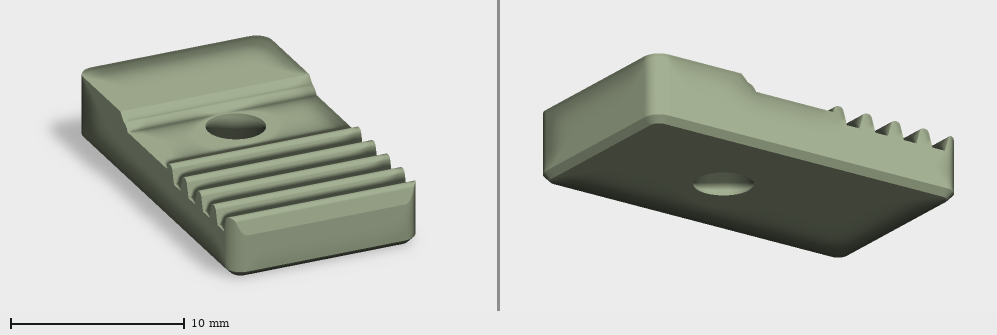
import cadquery as cq
import math

LENGTH = 21.5
WIDTH = 12.0
HEIGHT = 4.2
CORNER_RADIUS = 1.0
BOTTOM_CHAMFER = 0.4

SEAT_Z = 3.3
GROOVE_FLOOR_Z = 2.7
TOOTH_TIP_Z = 3.75

RAMP_START_X = 6.11
RAMP_END_Z = 3.74
RAMP_END_X = RAMP_START_X + HEIGHT - RAMP_END_Z
NOSE_END_X = 7.0
NOSE_END_Z = 3.5
NOSE_BULGE = 0.04
STEP_END_X = 7.13

TOOTH_COUNT = 5
TOOTH_PITCH = 2.0
TOOTH_CREST_WIDTH = 0.1
TOOTH_TIP_RADIUS = 0.28
TOOTH_FLANK_ANGLE = math.radians(16)

HOLE_DIAMETER = 3.5
HOLE_X = 9.0

CREST_HALF_WIDTH = TOOTH_CREST_WIDTH / 2
TIP_CENTRE_Z = TOOTH_TIP_Z - TOOTH_TIP_RADIUS
TANGENT_HALF_WIDTH = CREST_HALF_WIDTH + TOOTH_TIP_RADIUS * math.cos(TOOTH_FLANK_ANGLE)
TANGENT_Z = TIP_CENTRE_Z + TOOTH_TIP_RADIUS * math.sin(TOOTH_FLANK_ANGLE)
ARC_MID_ANGLE = (TOOTH_FLANK_ANGLE + math.pi / 2) / 2
ARC_MID_HALF_WIDTH = CREST_HALF_WIDTH + TOOTH_TIP_RADIUS * math.cos(ARC_MID_ANGLE)
ARC_MID_Z = TIP_CENTRE_Z + TOOTH_TIP_RADIUS * math.sin(ARC_MID_ANGLE)
ROOT_HALF_WIDTH = TANGENT_HALF_WIDTH + (TANGENT_Z - GROOVE_FLOOR_Z) * math.tan(TOOTH_FLANK_ANGLE)

LAST_TOOTH_X = LENGTH - ROOT_HALF_WIDTH
FIRST_TOOTH_X = LAST_TOOTH_X - (TOOTH_COUNT - 1) * TOOTH_PITCH


def make_body():
    """Rounded block with a chamfered bottom edge."""
    return (
        cq.Workplane("XY")
        .rect(LENGTH, WIDTH)
        .extrude(HEIGHT)
        .translate((LENGTH / 2, 0, 0))
        .edges("|Z")
        .fillet(CORNER_RADIUS)
        .faces("<Z")
        .edges()
        .chamfer(BOTTOM_CHAMFER)
    )


def extrude_profile(profile):
    """Extrude a closed XZ profile across the full width, centred on Y."""
    return profile.close().extrude(WIDTH / 2, both=True)


def nose_midpoint():
    """Point on the rounded nose, pushed outwards from the middle of its chord."""
    chord_x = NOSE_END_X - RAMP_END_X
    chord_z = NOSE_END_Z - RAMP_END_Z
    chord = math.hypot(chord_x, chord_z)
    mid_x = (RAMP_END_X + NOSE_END_X) / 2 - NOSE_BULGE * chord_z / chord
    mid_z = (RAMP_END_Z + NOSE_END_Z) / 2 + NOSE_BULGE * chord_x / chord
    return mid_x, mid_z


def make_base_profile():
    """Pad, stepped ramp, seat and groove floor, without the teeth."""
    profile = (
        cq.Workplane("XZ")
        .moveTo(0, 0)
        .lineTo(0, HEIGHT)
        .lineTo(RAMP_START_X, HEIGHT)
        .lineTo(RAMP_END_X, RAMP_END_Z)
        .threePointArc(nose_midpoint(), (NOSE_END_X, NOSE_END_Z))
        .lineTo(STEP_END_X, SEAT_Z)
        .lineTo(FIRST_TOOTH_X, SEAT_Z)
        .lineTo(FIRST_TOOTH_X, GROOVE_FLOOR_Z)
        .lineTo(LENGTH, GROOVE_FLOOR_Z)
        .lineTo(LENGTH, 0)
    )
    return extrude_profile(profile)


def make_tooth(centre_x):
    """One tooth, carried down to the underside so that it overlaps the base."""
    half_outline = [
        (ROOT_HALF_WIDTH, 0),
        (ROOT_HALF_WIDTH, GROOVE_FLOOR_Z),
        (TANGENT_HALF_WIDTH, TANGENT_Z),
        (ARC_MID_HALF_WIDTH, ARC_MID_Z),
        (CREST_HALF_WIDTH, TOOTH_TIP_Z),
    ]
    left_side = [(centre_x - x, z) for x, z in half_outline]
    left_foot, left_root, left_tangent, left_arc, left_crest = left_side
    right_side = [(centre_x + x, z) for x, z in half_outline]
    right_foot, right_root, right_tangent, right_arc, right_crest = right_side
    profile = (
        cq.Workplane("XZ")
        .moveTo(*left_foot)
        .lineTo(*left_root)
        .lineTo(*left_tangent)
        .threePointArc(left_arc, left_crest)
        .lineTo(*right_crest)
        .threePointArc(right_arc, right_tangent)
        .lineTo(*right_root)
        .lineTo(*right_foot)
    )
    return extrude_profile(profile)


def make_toothed_envelope():
    """Full side profile of the part, extruded across the width."""
    envelope = make_base_profile()
    for index in range(TOOTH_COUNT):
        envelope = envelope.union(make_tooth(FIRST_TOOTH_X + index * TOOTH_PITCH))
    return envelope.clean()


def make_hole():
    """Cylinder for the vertical through hole."""
    return cq.Workplane("XY").center(HOLE_X, 0).circle(HOLE_DIAMETER / 2).extrude(HEIGHT)


result = make_body().intersect(make_toothed_envelope()).cut(make_hole())